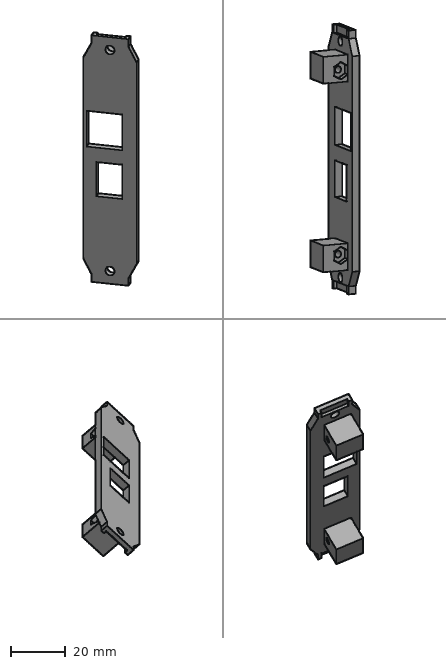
import cadquery as cq
import math

plate_width = 20.21
plate_height = 98.27
plate_thickness = 3.0
tab_width = 14.0
tab_height = 3.0
shoulder_height = 6.0

screw_hole_diameter = 3.4
screw_hole_end_distance = 5.1

window_right = 4.6
upper_window_width = 13.4
upper_window_height = 14.2
upper_window_top = 18.8
lower_window_width = 9.8
lower_window_height = 13.6
lower_window_top = -1.2

recess_width = 11.0
recess_depth = 1.2
recess_height = tab_height

block_width = 11.0
block_depth = 10.0
block_height = 10.0
block_left = -6.5
block_end_distance = tab_height + shoulder_height

cross_hole_diameter = 2.5
cross_hole_standoff = 2.85
cross_hole_y = plate_thickness + cross_hole_standoff
cross_hole_inset = 5.75
HEX_SIDES = 6
nut_across_flats = 5.6
nut_across_corners = nut_across_flats / math.cos(math.pi / HEX_SIDES)
nut_pocket_depth = 2.5

half_height = plate_height / 2
ENDS = (1, -1)


def box(x_min, y_min, z_min, x_size, y_size, z_size):
    corner = (x_min, y_min, z_min)
    return cq.Workplane("XY").box(x_size, y_size, z_size, centered=False).translate(corner)


def make_plate():
    half_width = plate_width / 2
    half_tab = tab_width / 2
    tab_base = half_height - tab_height
    shoulder_base = tab_base - shoulder_height
    right_side = [
        (half_tab, -half_height),
        (half_tab, -tab_base),
        (half_width, -shoulder_base),
        (half_width, shoulder_base),
        (half_tab, tab_base),
        (half_tab, half_height),
    ]
    left_side = [(-x, z) for x, z in reversed(right_side)]
    return cq.Workplane("XZ").polyline(right_side + left_side).close().extrude(-plate_thickness)


def make_window(width, height, top):
    return box(window_right - width, 0, top - height, width, plate_thickness, height)


def make_screw_hole(end):
    z = end * (half_height - screw_hole_end_distance)
    return cq.Workplane("XZ").center(0, z).circle(screw_hole_diameter / 2).extrude(-plate_thickness)


def make_recess(end):
    z_middle = end * (half_height - recess_height / 2)
    z_min = z_middle - recess_height / 2
    y_min = plate_thickness - recess_depth
    return box(-recess_width / 2, y_min, z_min, recess_width, recess_depth, recess_height)


def make_block(end):
    z_middle = end * (half_height - block_end_distance - block_height / 2)
    z_min = z_middle - block_height / 2
    block = box(block_left, plate_thickness, z_min, block_width, block_depth, block_height)

    hole_z = end * (half_height - block_end_distance - cross_hole_inset)
    side = cq.Workplane("YZ", origin=(block_left, cross_hole_y, hole_z))
    cross_hole = side.circle(cross_hole_diameter / 2).extrude(block_width)
    turned_side = side.transformed(rotate=(0, 0, 90))
    nut_pocket = turned_side.polygon(HEX_SIDES, nut_across_corners).extrude(nut_pocket_depth)
    return block.cut(cross_hole).cut(nut_pocket)


result = make_plate()
result = result.cut(make_window(upper_window_width, upper_window_height, upper_window_top))
result = result.cut(make_window(lower_window_width, lower_window_height, lower_window_top))
for end in ENDS:
    result = result.cut(make_screw_hole(end))
    result = result.cut(make_recess(end))
    result = result.union(make_block(end))